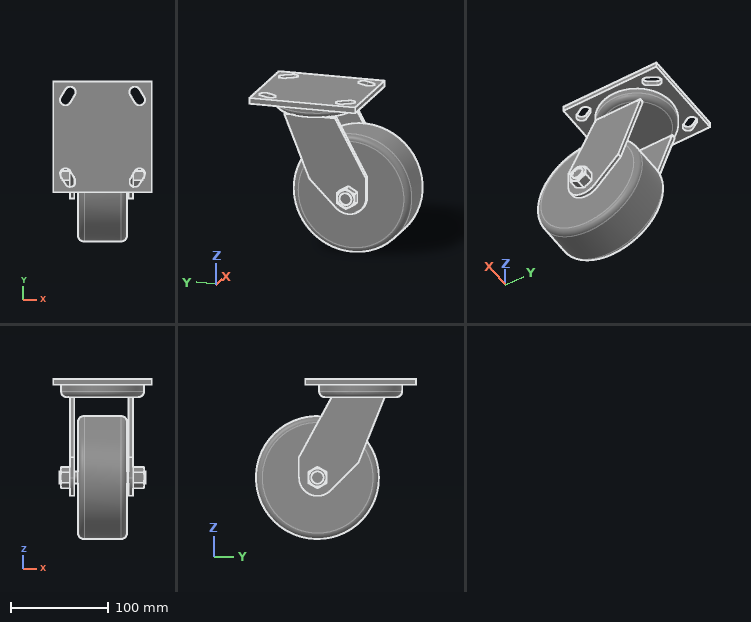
import cadquery as cq
import math


PLATE_WIDTH = 101.5
PLATE_LENGTH = 114.2
PLATE_THICKNESS = 6.3
SLOT_DIAMETER = 11.0
SLOT_OUTER_END = (33.4, 46.0)
SLOT_INNER_END = (38.1, 38.1)

HOUSING_DIAMETER = 85.9
HOUSING_HEIGHT = 12.7
HOUSING_FILLET = 6.3
HOUSING_BOTTOM_Z = -(PLATE_THICKNESS + HOUSING_HEIGHT)

OVERALL_SIZE = 165.1
WHEEL_DIAMETER = 127.0
WHEEL_WIDTH = 50.9
WHEEL_FILLET = 6.5
AXLE_Y = PLATE_LENGTH / 2 + WHEEL_DIAMETER / 2 - OVERALL_SIZE
AXLE_Z = WHEEL_DIAMETER / 2 - OVERALL_SIZE

LEG_THICKNESS = 4.8
LEFT_LEG_OUTER_X = -33.7
RIGHT_LEG_OUTER_X = 31.5
LEG_END_RADIUS = 19.0
LEG_TOP_FRONT_Y = -30.0
LEG_TOP_BACK_Y = 25.0
FRONT_KNEE_RISE = 21.0
BACK_KNEE_RISE = 15.4

AXLE_DIAMETER = 12.7
AXLE_LENGTH = 88.8
NUT_FACE_X = 43.1
NUT_ACROSS_FLATS = 19.2
NUT_ACROSS_CORNERS = NUT_ACROSS_FLATS / math.cos(math.radians(30))
NUT_FACE_DIAMETER = 18.5
NUT_CHAMFER_LENGTH = 0.7


def x_cylinder(diameter, start_x, end_x):
    """Cylinder on the axle line between two X positions."""
    return (
        cq.Workplane("YZ", origin=(start_x, AXLE_Y, AXLE_Z))
        .circle(diameter / 2)
        .extrude(end_x - start_x)
    )


def make_slot(x_side, y_side):
    """Cutter for the slanted slot in one quadrant of the plate."""
    run_x = SLOT_INNER_END[0] - SLOT_OUTER_END[0]
    run_y = SLOT_INNER_END[1] - SLOT_OUTER_END[1]
    center_x = x_side * (SLOT_INNER_END[0] + SLOT_OUTER_END[0]) / 2
    center_y = y_side * (SLOT_INNER_END[1] + SLOT_OUTER_END[1]) / 2
    angle = math.degrees(math.atan2(y_side * run_y, x_side * run_x))
    return (
        cq.Workplane("XY")
        .center(center_x, center_y)
        .slot2D(math.hypot(run_x, run_y) + SLOT_DIAMETER, SLOT_DIAMETER, angle)
        .extrude(-PLATE_THICKNESS)
    )


def make_plate():
    plate = cq.Workplane("XY").rect(PLATE_WIDTH, PLATE_LENGTH).extrude(-PLATE_THICKNESS)
    for x_side in (-1, 1):
        for y_side in (-1, 1):
            plate = plate.cut(make_slot(x_side, y_side))
    return plate


def make_housing():
    return (
        cq.Workplane("XY", origin=(0, 0, -PLATE_THICKNESS))
        .circle(HOUSING_DIAMETER / 2)
        .extrude(-HOUSING_HEIGHT)
        .faces("<Z")
        .edges()
        .fillet(HOUSING_FILLET)
    )


def make_leg(start_x):
    """Bent leg whose round end is centered on the axle."""
    front_y = AXLE_Y - LEG_END_RADIUS
    tangent_offset = LEG_END_RADIUS * math.sin(math.radians(45))
    back_knee_y = AXLE_Y + 2 * tangent_offset + BACK_KNEE_RISE
    return (
        cq.Workplane("YZ", origin=(start_x, 0, 0))
        .moveTo(LEG_TOP_BACK_Y, HOUSING_BOTTOM_Z)
        .lineTo(LEG_TOP_FRONT_Y, HOUSING_BOTTOM_Z)
        .lineTo(front_y, AXLE_Z + FRONT_KNEE_RISE)
        .lineTo(front_y, AXLE_Z)
        .threePointArc(
            (AXLE_Y, AXLE_Z - LEG_END_RADIUS),
            (AXLE_Y + tangent_offset, AXLE_Z - tangent_offset),
        )
        .lineTo(back_knee_y, AXLE_Z + BACK_KNEE_RISE)
        .close()
        .extrude(LEG_THICKNESS)
    )


def make_frame():
    """Plate, swivel housing and fork legs, bored for the axle."""
    frame = make_plate().union(make_housing())
    for start_x in (LEFT_LEG_OUTER_X, RIGHT_LEG_OUTER_X - LEG_THICKNESS):
        frame = frame.union(make_leg(start_x))
    return frame.cut(x_cylinder(AXLE_DIAMETER, LEFT_LEG_OUTER_X, RIGHT_LEG_OUTER_X))


def make_wheel():
    half_width = WHEEL_WIDTH / 2
    tire = x_cylinder(WHEEL_DIAMETER, -half_width, half_width).edges().fillet(WHEEL_FILLET)
    return tire.cut(x_cylinder(AXLE_DIAMETER, -half_width, half_width))


def make_nut(seat_x, face_x):
    """Hexagonal nut from its seat on the leg, with chamfered corners at its outer face."""
    direction = math.copysign(1, face_x - seat_x)
    corner_radius = NUT_ACROSS_CORNERS / 2
    hexagon = (
        cq.Workplane("YZ", origin=(seat_x, AXLE_Y, AXLE_Z))
        .transformed(rotate=(0, 0, 90))
        .polygon(6, NUT_ACROSS_CORNERS)
        .extrude(face_x - seat_x)
    )
    envelope = (
        cq.Workplane("XY", origin=(0, AXLE_Y, AXLE_Z))
        .moveTo(seat_x, 0)
        .lineTo(seat_x, corner_radius)
        .lineTo(face_x - direction * NUT_CHAMFER_LENGTH, corner_radius)
        .lineTo(face_x, NUT_FACE_DIAMETER / 2)
        .lineTo(face_x, 0)
        .close()
        .revolve(360, (0, 0, 0), (1, 0, 0))
    )
    return hexagon.intersect(envelope)


def make_axle():
    """Axle rod with both nuts."""
    rod = x_cylinder(AXLE_DIAMETER, -AXLE_LENGTH / 2, AXLE_LENGTH / 2)
    left_nut = make_nut(LEFT_LEG_OUTER_X, -NUT_FACE_X)
    right_nut = make_nut(RIGHT_LEG_OUTER_X, NUT_FACE_X)
    return rod.union(left_nut).union(right_nut)


frame = make_frame()
wheel = make_wheel()
axle = make_axle()

result = cq.Compound.makeCompound([body.solids().val() for body in (frame, wheel, axle)])